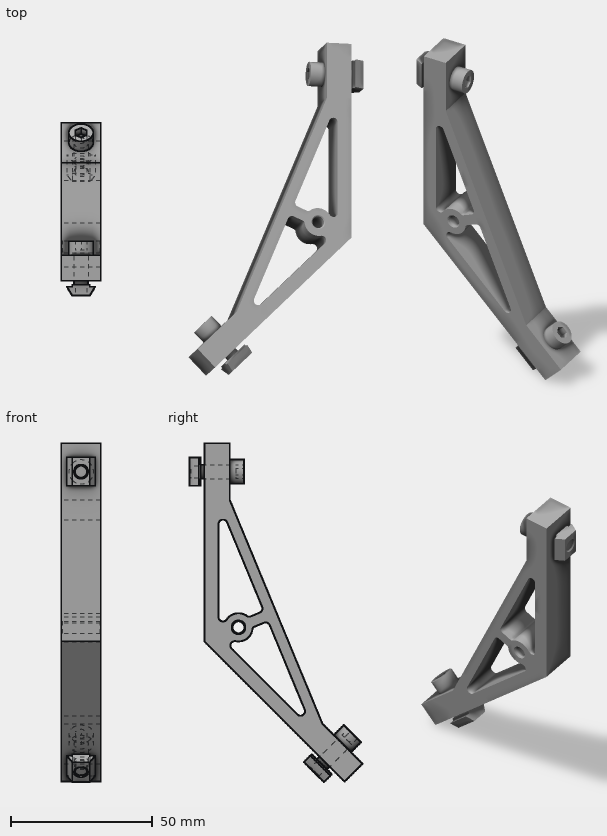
import cadquery as cq
import math

arm_bend = 45.0
arm_length = 70.0
arm_thickness = 9.0
arm_clear_length = 20.0
width = 14.0

rail_thickness = 5.0
strut_thickness = 4.0
web_thickness = 4.0
boss_radius = 5.0
boss_offset = 13.0
window_radius = 1.5
web_root_radius = 1.0
pivot_diameter = 4.2
pivot_chamfer = 0.4

screw_from_end = 10.0
screw_diameter = 5.0
head_diameter = 8.6
head_height = 5.0
socket_flats = 4.1
socket_depth = 3.0
tip_diameter = 4.2
nut_gap = 1.3
nut_length = 10.0
nut_width = 10.0
nut_neck_width = 6.2
nut_neck_height = 0.7
nut_height = 4.0

half_bend = math.radians(arm_bend / 2)
sin_half = math.sin(half_bend)
cos_half = math.cos(half_bend)
bisector_plane = cq.Plane(origin=(-width / 2, 0, 0), xDir=(0, cos_half, sin_half), normal=(1, 0, 0))


def on_upper_arm(along, inward):
    """(u, v) of a point at a distance along the upper arm and inward from its mounting face."""
    return (along * sin_half + inward * cos_half, along * cos_half - inward * sin_half)


def on_boss(angle):
    """(u, v) of a point on the boss circle, the angle measured from +u."""
    return (boss_offset + boss_radius * math.cos(angle), boss_radius * math.sin(angle))


def mirrored(point):
    return (point[0], -point[1])


def make_blank():
    arm_end = on_upper_arm(arm_length, 0)
    arm_end_inner = on_upper_arm(arm_length, arm_thickness)
    upper_points = [arm_end, arm_end_inner, strut_foot]
    lower_points = [mirrored(point) for point in reversed(upper_points)]
    outline = [(0, 0)] + upper_points + lower_points
    return cq.Workplane(bisector_plane).polyline(outline).close().extrude(width)


def make_upper_window():
    """Cutter between the upper arm, the strut, the web and the boss."""
    strut_inner = strut_foot[0] - strut_thickness
    apex = on_upper_arm((strut_inner - rail_thickness * cos_half) / sin_half, rail_thickness)
    web_corner = (strut_inner, web_thickness / 2)
    web_angle = math.asin(web_thickness / 2 / boss_radius)
    web_root = on_boss(web_angle)

    blend_depth = rail_thickness + window_radius
    boss_depth = boss_offset * cos_half
    centers_apart = boss_radius + window_radius
    blend_rise = math.sqrt(centers_apart ** 2 - (boss_depth - blend_depth) ** 2)
    blend_along = boss_offset * sin_half + blend_rise
    blend_center = on_upper_arm(blend_along, blend_depth)
    blend_end = on_upper_arm(blend_along, rail_thickness)
    boss_end_angle = math.atan2(blend_center[1], blend_center[0] - boss_offset)
    blend_start = on_boss(boss_end_angle)
    chord_middle = [(start + end) / 2 for start, end in zip(blend_start, blend_end)]
    chord_distance = math.dist(blend_center, chord_middle)
    blend_middle = tuple(
        center + (middle - center) * window_radius / chord_distance
        for center, middle in zip(blend_center, chord_middle)
    )

    window = (
        cq.Workplane(bisector_plane)
        .moveTo(*apex)
        .lineTo(*web_corner)
        .lineTo(*web_root)
        .threePointArc(on_boss((web_angle + boss_end_angle) / 2), blend_start)
        .threePointArc(blend_middle, blend_end)
        .close()
        .extrude(width)
    )
    for corner in (apex, web_corner):
        window = round_corner(window, corner, window_radius)
    return round_corner(window, web_root, web_root_radius)


def round_corner(window, corner, radius):
    """Fillet the edge of a window cutter that runs across the width through a corner."""
    middle = bisector_plane.toWorldCoords((corner[0], corner[1], width / 2))
    return window.edges(cq.NearestToPointSelector(middle.toTuple())).fillet(radius)


def make_pivot_hole():
    hole = cq.Workplane(bisector_plane).center(boss_offset, 0).circle(pivot_diameter / 2).extrude(width)
    mouth_radius = pivot_diameter / 2 + pivot_chamfer
    for side in (-1, 1):
        mouth = cq.Solid.makeCone(
            mouth_radius, pivot_diameter / 2, pivot_chamfer,
            pnt=cq.Vector(side * width / 2, boss_offset * cos_half, boss_offset * sin_half),
            dir=cq.Vector(-side, 0, 0),
        )
        hole = hole.union(cq.Workplane(mouth))
    return hole


def make_bracket():
    upper_window = make_upper_window()
    lower_window = upper_window.mirror(bisector_plane.yDir, (0, 0, 0))
    bracket = make_blank().cut(upper_window).cut(lower_window).cut(make_pivot_hole())
    for seat in seats:
        bore = cq.Workplane(seat).circle(screw_diameter / 2).extrude(-arm_thickness)
        bracket = bracket.cut(bore)
    return bracket


def make_screw(seat):
    """Socket head screw through an arm, its reduced tip filling the nut up to the chamfer."""
    tip_length = nut_height - nut_chamfer
    head = cq.Workplane(seat).workplane(offset=-arm_thickness).circle(head_diameter / 2).extrude(-head_height)
    shank = (
        cq.Workplane(seat).workplane(offset=-arm_thickness)
        .circle(screw_diameter / 2).extrude(arm_thickness + nut_gap)
    )
    tip = cq.Workplane(seat).workplane(offset=nut_gap).circle(tip_diameter / 2).extrude(tip_length)
    socket = (
        cq.Workplane(seat).workplane(offset=-arm_thickness - head_height)
        .polygon(6, socket_flats, circumscribed=True).extrude(socket_depth)
    )
    return head.union(shank).union(tip).cut(socket)


def make_nut(seat):
    """Slot nut: a narrow neck, then flanks tapering away from the arm."""
    shoulder = nut_gap + nut_neck_height
    bottom = nut_gap + nut_height
    half_profile = [
        (nut_neck_width / 2, nut_gap),
        (nut_neck_width / 2, shoulder),
        (nut_width / 2, shoulder),
        (nut_neck_width / 2, bottom),
    ]
    profile = half_profile + [(-across, height) for across, height in reversed(half_profile)]
    profile_plane = cq.Plane(origin=seat.origin, xDir=seat.xDir, normal=-seat.yDir)
    body = cq.Workplane(profile_plane).polyline(profile).close().extrude(nut_length / 2, both=True)
    hole = cq.Workplane(seat).workplane(offset=nut_gap).circle(tip_diameter / 2).extrude(nut_height)
    mouth = (
        cq.Workplane(seat).workplane(offset=bottom)
        .circle(screw_diameter / 2).workplane(offset=-nut_chamfer).circle(tip_diameter / 2).loft()
    )
    return body.cut(hole).cut(mouth)


strut_foot = on_upper_arm(arm_length - arm_clear_length, arm_thickness)
nut_chamfer = (screw_diameter - tip_diameter) / 2

seat_distance = arm_length - screw_from_end
bend = math.radians(arm_bend)
upper_seat = cq.Plane(origin=(0, 0, seat_distance), xDir=(1, 0, 0), normal=(0, -1, 0))
lower_seat = cq.Plane(
    origin=(0, seat_distance * math.sin(bend), -seat_distance * math.cos(bend)),
    xDir=(1, 0, 0),
    normal=(0, -math.cos(bend), -math.sin(bend)),
)
seats = [upper_seat, lower_seat]

bracket = make_bracket()
screws = [make_screw(seat).val() for seat in seats]
nuts = [make_nut(seat).val() for seat in seats]

result = cq.Compound.makeCompound([bracket.val(), *screws, *nuts])